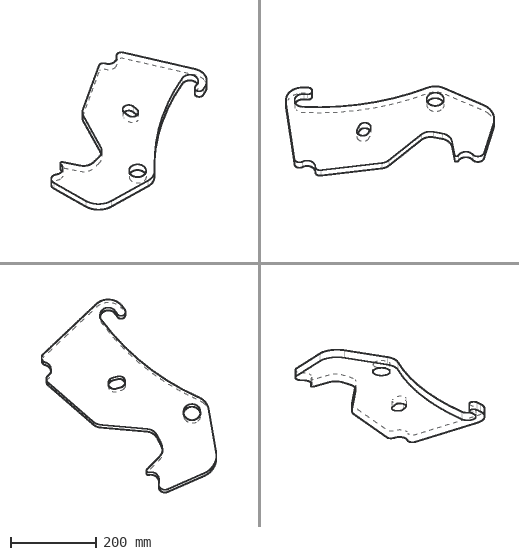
import cadquery as cq
import math


THICKNESS = 20.0
BOTTOM_Y = -150.0
LEFT_X = -275.69

PIN_CENTER = (0.0, 0.0)
PIN_BORE_DIAMETER = 40.0
PIN_END_RADIUS = 40.0

HOOK_CENTER = (-76.4, 300.53)
HOOK_OUTER_RADIUS = 40.0
HOOK_INNER_RADIUS = 19.5
HOOK_TIP_CENTER = (-45.4, 296.2)
HOOK_TIP_RADIUS = 10.5

HOLLOW_RADIUS = 580.0

UPPER_NOTCH_CENTER = (-272.0, 242.7)
UPPER_NOTCH_RADIUS = 19.0
TOP_LIP_RADIUS = 12.0
TOP_LIP_ANGLE = 48.7
SIDE_LIP_RADIUS = 11.0

LOWER_NOTCH_CENTER = (-158.6, -112.3)
LOWER_NOTCH_RADIUS = 19.5
BEAK_RADIUS = 4.5
BEAK_ANGLE = 79.0
FOOT_RADIUS = 15.0
HEEL_RADIUS = 50.0
HEEL_X = -38.4

ELBOW_CENTER = (-192.1, 87.1)
ELBOW_RADIUS = 30.0
THROAT_RADIUS = 30.0
THROAT_WALL_X = -98.2
THROAT_TOP_Y = -19.6
THROAT_BOTTOM_Y = -41.0

SLOT_CENTER = (-128.7, 140.8)
SLOT_LENGTH = 40.5
SLOT_WIDTH = 28.0
SLOT_ANGLE = -9.0


def polar(center, radius, angle):
    """Point at a radius and an angle in radians from a center."""
    return (center[0] + radius * math.cos(angle), center[1] + radius * math.sin(angle))


def meet(center_a, radius_a, center_b, radius_b):
    """Crossing of two circles that lies to the right of the direction a to b."""
    span = math.dist(center_a, center_b)
    heading = math.atan2(center_b[1] - center_a[1], center_b[0] - center_a[0])
    cosine = (radius_a**2 + span**2 - radius_b**2) / (2 * radius_a * span)
    return polar(center_a, radius_a, heading - math.acos(cosine))


def tangent_heading(first, second):
    """Heading of the line that leaves the first arc and joins the second one.

    An arc is (center, radius), the radius being negative where it turns clockwise.
    """
    (center_a, radius_a), (center_b, radius_b) = first, second
    dx = center_b[0] - center_a[0]
    dy = center_b[1] - center_a[1]
    offset = radius_a - radius_b
    length = math.sqrt(max(dx**2 + dy**2 - offset**2, 0.0))
    return math.atan2(dy, dx) + math.atan2(offset, length)


def tangent_chain(arcs):
    """Closed wire through the arcs in counterclockwise order."""
    touching_gap = 0.01
    quarter_turn = math.pi / 2
    full_turn = 2 * math.pi
    headings = [tangent_heading(arc, arcs[(i + 1) % len(arcs)]) for i, arc in enumerate(arcs)]
    center, radius = arcs[0]
    start = polar(center, radius, headings[-1] - quarter_turn)
    wire = cq.Workplane("XY").moveTo(*start)
    end = start
    for i, (center, radius) in enumerate(arcs):
        entry_angle = headings[i - 1] - quarter_turn
        sweep = (headings[i] - headings[i - 1]) % full_turn
        if radius < 0:
            sweep -= full_turn
        entry = polar(center, radius, entry_angle)
        if math.dist(end, entry) > touching_gap:
            wire = wire.lineTo(*entry)
        middle = polar(center, radius, entry_angle + sweep / 2)
        end = polar(center, radius, entry_angle + sweep)
        wire = wire.threePointArc(middle, end)
    return wire.close()


def outline_arcs():
    """Arcs of the outline, counterclockwise from the foot."""
    hollow_center = meet(
        PIN_CENTER, HOLLOW_RADIUS + PIN_END_RADIUS,
        HOOK_CENTER, HOLLOW_RADIUS - HOOK_INNER_RADIUS,
    )
    top_lip_reach = UPPER_NOTCH_RADIUS + TOP_LIP_RADIUS
    top_lip_center = polar(UPPER_NOTCH_CENTER, top_lip_reach, math.radians(TOP_LIP_ANGLE))
    side_lip_reach = UPPER_NOTCH_RADIUS + SIDE_LIP_RADIUS
    side_lip_x = LEFT_X + SIDE_LIP_RADIUS
    side_lip_angle = -math.acos((side_lip_x - UPPER_NOTCH_CENTER[0]) / side_lip_reach)
    side_lip_center = polar(UPPER_NOTCH_CENTER, side_lip_reach, side_lip_angle)
    beak_reach = LOWER_NOTCH_RADIUS + BEAK_RADIUS
    beak_center = polar(LOWER_NOTCH_CENTER, beak_reach, math.radians(BEAK_ANGLE))
    foot_reach = LOWER_NOTCH_RADIUS + FOOT_RADIUS
    foot_y = BOTTOM_Y + FOOT_RADIUS
    foot_angle = math.asin((foot_y - LOWER_NOTCH_CENTER[1]) / foot_reach)
    foot_center = polar(LOWER_NOTCH_CENTER, foot_reach, foot_angle)
    throat_x = THROAT_WALL_X - THROAT_RADIUS
    return [
        (foot_center, FOOT_RADIUS),
        ((HEEL_X, BOTTOM_Y + HEEL_RADIUS), HEEL_RADIUS),
        (PIN_CENTER, PIN_END_RADIUS),
        (hollow_center, -HOLLOW_RADIUS),
        (HOOK_CENTER, -HOOK_INNER_RADIUS),
        (HOOK_TIP_CENTER, HOOK_TIP_RADIUS),
        (HOOK_CENTER, HOOK_OUTER_RADIUS),
        (top_lip_center, TOP_LIP_RADIUS),
        (UPPER_NOTCH_CENTER, -UPPER_NOTCH_RADIUS),
        (side_lip_center, SIDE_LIP_RADIUS),
        (ELBOW_CENTER, ELBOW_RADIUS),
        ((throat_x, THROAT_TOP_Y), -THROAT_RADIUS),
        ((throat_x, THROAT_BOTTOM_Y), -THROAT_RADIUS),
        (beak_center, BEAK_RADIUS),
        (LOWER_NOTCH_CENTER, -LOWER_NOTCH_RADIUS),
    ]


def pin_bore():
    return cq.Workplane("XY").center(*PIN_CENTER).circle(PIN_BORE_DIAMETER / 2).extrude(THICKNESS)


def slot():
    return (
        cq.Workplane("XY")
        .center(*SLOT_CENTER)
        .slot2D(SLOT_LENGTH, SLOT_WIDTH, SLOT_ANGLE)
        .extrude(THICKNESS)
    )


plate = tangent_chain(outline_arcs()).extrude(THICKNESS)
result = plate.cut(pin_bore()).cut(slot())